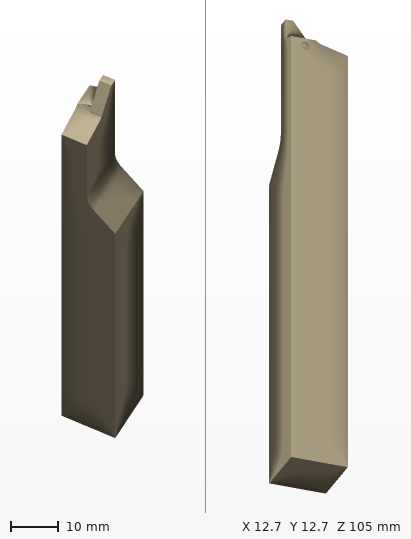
import cadquery as cq
import math

shank_size = 12.7
overall_height = 105.0

blade_thickness = 6.0
shoulder_height = 70.7
shoulder_root_height = shoulder_height + shank_size - blade_thickness
shoulder_radius = 5.0

ramp_front_height = 97.2
ramp_angle = math.radians(15)
ramp_end_y = 5.8
ramp_end_height = ramp_front_height + ramp_end_y * math.tan(ramp_angle)
hollow_radius = 3.0
hollow_end_y = 7.5

ledge_height = 100.3
ledge_side_height = 99.5
ledge_flat_start_x = 2.5

tip_left_x = 3.2
tip_land = 1.7
tip_foot_y = 6.7
tip_foot_height = 99.3
tip_base_height = 98.2

recess_diameter = 1.9
recess_depth = 0.2
recess_y = shank_size - 3.2
recess_height = 97.8


def hollow_point(angle):
    """Point (Y, Z) on the hollow where its surface rises at the given angle."""
    y = ramp_end_y + hollow_radius * (math.sin(angle) - math.sin(ramp_angle))
    z = ramp_end_height + hollow_radius * (math.cos(ramp_angle) - math.cos(angle))
    return y, z


def make_holder():
    """Shank and blade, cut to the shape of the blade top."""
    front_outline = (
        cq.Workplane("XZ")
        .moveTo(0, 0)
        .lineTo(shank_size, 0)
        .lineTo(shank_size, shoulder_height)
        .lineTo(blade_thickness, shoulder_root_height)
        .lineTo(blade_thickness, ledge_height)
        .lineTo(ledge_flat_start_x, ledge_height)
        .lineTo(0, ledge_side_height)
        .close()
        .extrude(-shank_size)
    )
    root_edge = cq.selectors.NearestToPointSelector((blade_thickness, shank_size / 2, shoulder_root_height))
    body = front_outline.edges(root_edge).fillet(shoulder_radius)

    hollow_end_angle = math.asin(math.sin(ramp_angle) + (hollow_end_y - ramp_end_y) / hollow_radius)
    hollow_end = hollow_point(hollow_end_angle)
    hollow_middle = hollow_point((ramp_angle + hollow_end_angle) / 2)
    side_envelope = (
        cq.Workplane("YZ")
        .moveTo(0, 0)
        .lineTo(0, ramp_front_height)
        .lineTo(ramp_end_y, ramp_end_height)
        .threePointArc(hollow_middle, hollow_end)
        .lineTo(hollow_end_y, overall_height)
        .lineTo(shank_size, overall_height)
        .lineTo(shank_size, 0)
        .close()
        .extrude(shank_size)
    )
    return body.intersect(side_envelope)


def make_tip():
    """Wedge-shaped cutting tip with a narrow land on top and its root inside the blade."""
    return (
        cq.Workplane("YZ", origin=(tip_left_x, 0, 0))
        .moveTo(shank_size, tip_base_height)
        .lineTo(shank_size, overall_height)
        .lineTo(shank_size - tip_land, overall_height)
        .lineTo(tip_foot_y, tip_foot_height)
        .lineTo(tip_foot_y, tip_base_height)
        .close()
        .extrude(blade_thickness - tip_left_x)
    )


def make_recess():
    return (
        cq.Workplane("YZ")
        .center(recess_y, recess_height)
        .circle(recess_diameter / 2)
        .extrude(recess_depth)
    )


result = make_holder().union(make_tip()).cut(make_recess())